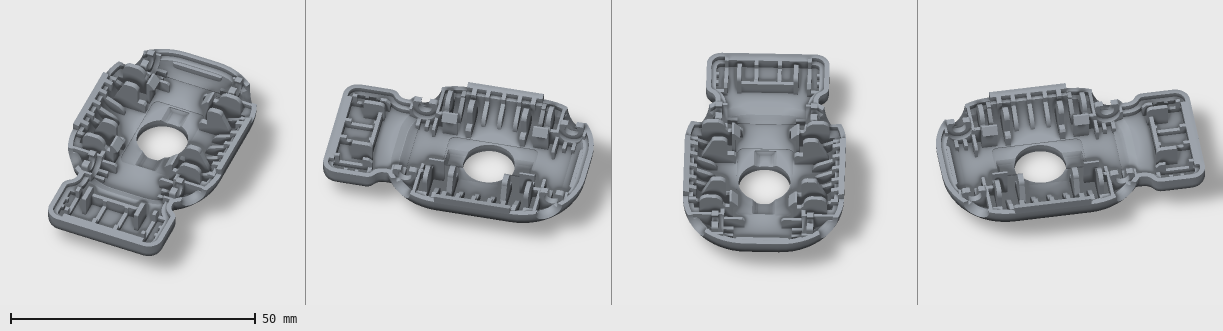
import cadquery as cq
import math


body_half_x = 16.505
body_half_y = 20.945
body_depth = 5.8
body_corner_r = 13.05
bottom_r = 5.55
cavity_bottom_r = 3.7
wall = 2.05
ledge = wall / 2
floor_z = wall - body_depth
root_z = floor_z - 0.25
top_z = 3.0
hole_r = 5.3

tab_half_x = 12.55
tab_end_y = -32.555
tab_depth = 4.05
tab_corner_r = 3.05
tab_floor_z = wall - tab_depth
tab_root_z = tab_floor_z - 0.25
neck_half_x = 10.55
shoulder_y = -23.15
shoulder_r = 2.1

strip_half_y = 7.9
strip_in_x = 15.3
tooth_in_x = 13.8
strip_top_z = 1.55
tooth_top_z = 0.8

clip_y = 15.35
clip_in_x = 9.1
clip_out_x = 10.45
clip_bore_r = 1.45
saddle_in_x = 8.0
saddle_r = 2.5
clip_wall_y = 12.95
clip_wall_t = 0.65
clip_end_y = 18.4

outer_guide_y = 10.1
outer_guide_t = 0.95
guide_out_x = 13.05
guide_shoulder_z = 2.05


def box(x0, x1, y0, y1, z0, z1):
    return cq.Workplane("XY").box(x1 - x0, y1 - y0, z1 - z0, centered=False).translate((x0, y0, z0))


def plate(profile, y0, y1):
    """Extrude an XZ profile from y0 to y1."""
    return profile.extrude(y0 - y1).translate((0, y0, 0))


def section():
    return cq.Workplane("XZ")


def x_cylinder(x0, x1, radius, y):
    """Cylinder about an axis parallel to X in the parting plane."""
    return cq.Workplane("YZ", origin=(x0, y, 0)).circle(radius).extrude(x1 - x0)


def merge(solids):
    total = solids[0]
    for solid in solids[1:]:
        total = total.union(solid)
    return total


def both_sides(solid):
    return solid.union(solid.mirror("YZ"))


def both_ends(solid):
    return solid.union(solid.mirror("XZ"))


def body_prism(inset, z0, z1):
    """Body outline moved inwards by inset, standing from z0 to z1."""
    prism = box(inset - body_half_x, body_half_x - inset, inset - body_half_y, body_half_y - inset, z0, z1)
    return prism.edges("|Z").fillet(body_corner_r - inset)


def tab_prism(inset, z0, z1):
    """Tab outline moved inwards by inset, standing from z0 to z1; it runs well into the body."""
    half_x = tab_half_x - inset
    end_y = tab_end_y + inset
    corner = tab_corner_r - inset
    neck_x = neck_half_x - inset
    turn = math.acos(1 - (tab_half_x - neck_half_x) / (2 * shoulder_r))
    outer_r = shoulder_r - inset
    inner_r = shoulder_r + inset
    meet_x = half_x - outer_r * (1 - math.cos(turn))
    meet_y = shoulder_y + outer_r * math.sin(turn)
    neck_y = shoulder_y + 2 * shoulder_r * math.sin(turn)
    half_turn = turn / 2
    root_y = -body_half_y + 4.3
    half = (
        cq.Workplane("XY", origin=(0, 0, z0))
        .moveTo(0, root_y)
        .lineTo(neck_x, root_y)
        .lineTo(neck_x, neck_y)
        .threePointArc(
            (neck_x + inner_r * (1 - math.cos(half_turn)), neck_y - inner_r * math.sin(half_turn)),
            (meet_x, meet_y),
        )
        .threePointArc(
            (half_x - outer_r * (1 - math.cos(half_turn)), shoulder_y + outer_r * math.sin(half_turn)),
            (half_x, shoulder_y),
        )
        .lineTo(half_x, end_y + corner)
        .radiusArc((half_x - corner, end_y), corner)
        .lineTo(0, end_y)
        .close()
        .extrude(z1 - z0)
    )
    return both_sides(half)


def body_outside():
    return body_prism(0, -body_depth, 0).faces("<Z").edges().fillet(bottom_r)


def body_cavity():
    hollow = body_prism(wall, floor_z, 0).faces("<Z").edges().fillet(cavity_bottom_r)
    flat_half_x = 10.75
    flat_half_y = 16.15
    flat = box(-flat_half_x, flat_half_x, -flat_half_y, flat_half_y, floor_z, floor_z + 0.55)
    step = body_prism(ledge, -ledge, 0)
    for side in (-1, 1):
        centre_x = side * body_half_x
        keep = box(centre_x - 2 * wall, centre_x + 2 * wall, -strip_half_y, strip_half_y, -ledge, 0)
        step = step.cut(keep)
    return hollow.union(flat).union(step)


def tab_outside():
    bottom_round = 2.0
    tab = tab_prism(0, -tab_depth, 0)
    return tab.faces("<Z").edges("not(>Y)").fillet(bottom_round)


def tab_cavity():
    hollow = tab_prism(wall, tab_floor_z, 0).union(tab_prism(ledge, -ledge, 0))
    rim_half_x = 8.9
    end_rim = box(-rim_half_x, rim_half_x, tab_end_y, tab_end_y + wall, tab_floor_z, 0)
    return hollow.cut(end_rim)


def tab_ramp():
    """Bevel between the body floor radius and the tab floor."""
    low_z = -2.7
    low_inset = 3.0
    high_inset = 1.47
    rise = tab_floor_z - low_z
    lean = math.degrees(math.atan((low_inset - high_inset) / rise))
    ramp = (
        body_prism(low_inset, low_z, low_z + 0.05)
        .faces("<Z").wires().toPending()
        .workplane(invert=True)
        .extrude(rise, taper=-lean, combine=False)
    )
    limit = box(-saddle_in_x, saddle_in_x, -body_half_y, -clip_y, low_z, tab_floor_z)
    return ramp.intersect(limit)


def pad_recess():
    pad_half_x = 5.7
    pad_half_y = 9.3
    pad_depth = 0.15
    recess = box(-pad_half_x, pad_half_x, -pad_half_y, pad_half_y, floor_z - pad_depth, floor_z)
    return recess.edges("|Z").fillet(1.3)


def pad_channel():
    half_y = 8.95
    top_half_x = 2.5
    knee_half_x = 1.6
    base_half_x = 1.2
    depth = 1.0
    knee_z = floor_z - depth + 0.2
    outline = section().polyline([
        (-top_half_x, floor_z),
        (-knee_half_x, knee_z),
        (-base_half_x, floor_z - depth),
        (base_half_x, floor_z - depth),
        (knee_half_x, knee_z),
        (top_half_x, floor_z),
    ]).close()
    blank = box(-top_half_x, top_half_x, -half_y, half_y, floor_z - depth, floor_z).edges("|Z").fillet(0.65)
    sloped_ends = box(-top_half_x, top_half_x, -half_y, half_y, floor_z - depth, floor_z)
    sloped_ends = sloped_ends.faces("<Z").edges("|X").chamfer(0.6)
    return plate(outline, -half_y, half_y).intersect(blank).intersect(sloped_ends)


def clip_block():
    """Block that carries the shaft clip, with the clip wall running out to the body side."""
    wall_start_y = clip_wall_y - clip_wall_t
    block = box(saddle_in_x, clip_out_x, wall_start_y, clip_end_y, -body_depth, 0)
    return block.union(box(saddle_in_x, body_half_x, wall_start_y, clip_wall_y, -body_depth, 0))


def clip_link():
    """Short wall that ties the clip wall to the outer guide plate."""
    in_x = 7.9
    out_x = 8.7
    return box(in_x, out_x, outer_guide_y, clip_wall_y, root_z, -0.1)


def clip_arms():
    arm_half_y = 2.5
    arm_top_z = 1.4
    arm_root_z = -0.25
    arms = box(clip_in_x, clip_out_x, clip_y - arm_half_y, clip_y + arm_half_y, arm_root_z, arm_top_z)
    return arms.faces(">Z").edges("|X").fillet(0.55)


def clip_flare():
    """Round-lipped notch in the body wall, square to the corner of the body where the clip points."""
    notch_angle = 37
    notch_r = 2.2
    lip_r = 3.4
    reach = 4.8
    turn = math.radians(notch_angle)
    straight_x = body_half_x - body_corner_r
    straight_y = body_half_y - body_corner_r
    lip_x = straight_x + body_corner_r * math.cos(turn)
    lip_y = straight_y + body_corner_r * math.sin(turn)
    profile = (
        cq.Workplane("XY")
        .moveTo(-reach, 0)
        .lineTo(-reach, notch_r)
        .lineTo(-wall, notch_r)
        .threePointArc((-0.8, 2.6), (0, lip_r))
        .lineTo(reach, lip_r)
        .lineTo(reach, 0)
        .close()
    )
    notch = profile.revolve(360, (0, 0, 0), (1, 0, 0))
    notch = notch.rotate((0, 0, 0), (0, 0, 1), notch_angle).translate((lip_x, lip_y, 0))
    limit = box(clip_out_x, body_half_x, clip_wall_y, body_half_y, -body_depth, top_z)
    return notch.intersect(limit)


def clip_cuts():
    mouth_half_y = 0.85
    bore = x_cylinder(saddle_in_x, clip_out_x + 0.55, clip_bore_r, clip_y)
    mouth = box(clip_in_x, clip_out_x, clip_y - mouth_half_y, clip_y + mouth_half_y, 0, top_z)
    saddle = x_cylinder(saddle_in_x, clip_in_x, saddle_r, clip_y)
    return merge([bore, mouth, saddle, clip_flare()])


def saddle_fins():
    fin_in_x = 6.0
    fin_top_z = -2.4
    fin_t = 0.75
    fins = [
        box(fin_in_x, saddle_in_x, y - fin_t / 2, y + fin_t / 2, root_z, fin_top_z)
        for y in (14.4, 16.25)
    ]
    return merge(fins)


def clip_wall_fin(in_x):
    """Fin that carries the clip wall on towards the middle."""
    fin_top_z = -1.3
    fin = box(in_x, saddle_in_x, clip_wall_y - clip_wall_t, clip_wall_y, root_z, fin_top_z)
    return fin.faces("<X").edges(">Z").chamfer(0.45)


def bay_floor():
    """Raised floor around the outer guide plate, level with the rim step at its outer edge."""
    in_x = 8.85
    low_x = 12.25
    high_x = 13.15
    low_z = -2.15
    profile = section().polyline([
        (in_x, root_z),
        (in_x, low_z),
        (low_x, low_z),
        (high_x, -ledge),
        (body_half_x, -ledge),
        (body_half_x, root_z),
    ]).close()
    shelf_x = 14.35
    shelf_start_y = 8.8
    bay = plate(profile, outer_guide_y, clip_wall_y - clip_wall_t)
    return bay.union(box(shelf_x, body_half_x, shelf_start_y, outer_guide_y, root_z, -ledge))


def outer_guide():
    """Tall plate next to the clip, with rounded top corners and a low inner foot."""
    outer_corner_r = 1.6
    foot_in_x = 6.9
    foot_z = 0.25
    profile = (
        section()
        .moveTo(guide_out_x, root_z)
        .lineTo(guide_out_x, top_z - outer_corner_r)
        .radiusArc((guide_out_x - outer_corner_r, top_z), -outer_corner_r)
        .lineTo(9.8, top_z)
        .threePointArc((8.85, 2.4), (8.25, 0.95))
        .lineTo(7.7, foot_z)
        .lineTo(foot_in_x, foot_z)
        .lineTo(foot_in_x, root_z)
        .close()
    )
    return plate(profile, outer_guide_y, outer_guide_y + outer_guide_t)


def inner_guide():
    """Tall plate with a leaning outer edge and a low step on its inner side."""
    step_z = -1.3
    step_x = 6.0
    step_chamfer = 0.45
    inner_x = 7.7
    profile = (
        section()
        .moveTo(guide_out_x, root_z)
        .lineTo(guide_out_x, floor_z + 1.6)
        .lineTo(11.0, 2.15)
        .threePointArc((10.75, 2.75), (10.2, top_z))
        .lineTo(9.15, top_z)
        .threePointArc((8.15, 2.7), (inner_x, guide_shoulder_z))
        .lineTo(inner_x, step_z)
        .lineTo(step_x + step_chamfer, step_z)
        .lineTo(step_x, step_z - step_chamfer)
        .lineTo(step_x, root_z)
        .close()
    )
    start_y = 5.1
    thickness = 1.1
    return plate(profile, start_y, start_y + thickness)


def catch():
    """Upright snap arm with a hook whose top slopes down towards the middle."""
    tip_x = 5.2
    arm_in_x = 6.2
    out_x = 6.9
    crest_x = 6.5
    profile = section().polyline([
        (arm_in_x, root_z),
        (arm_in_x, 0.15),
        (tip_x, 0.7),
        (crest_x, guide_shoulder_z),
        (out_x, guide_shoulder_z),
        (out_x, root_z),
    ]).close()
    return plate(profile, strip_half_y, outer_guide_y + outer_guide_t)


def strip_profile(in_x):
    slope = (strip_top_z - tooth_top_z) / (body_half_x - tooth_in_x)
    in_z = tooth_top_z + slope * (in_x - tooth_in_x)
    return section().polyline([
        (in_x, -ledge), (in_x, in_z), (body_half_x, strip_top_z), (body_half_x, 0), (strip_in_x, -ledge),
    ]).close()


rib_t = 0.85


def side_rib(y, shelf_z):
    """Curved rib from the side wall down to the floor; shelf_z is its height below the strip."""
    tip_x = 9.7
    bend_x = 11.0
    bend_z = -1.7
    profile = (
        section()
        .moveTo(strip_in_x, root_z)
        .lineTo(strip_in_x, shelf_z)
        .lineTo(tooth_in_x, shelf_z)
        .lineTo(tooth_in_x, -0.45)
        .lineTo(bend_x, bend_z)
        .threePointArc((10.05, -2.6), (tip_x, floor_z))
        .lineTo(tip_x, root_z)
        .close()
    )
    return plate(profile, y - rib_t / 2, y + rib_t / 2)


def side_strip():
    end_rib_y = 8.4
    mid_rib_y = 3.3
    tooth_y = 6.2
    tooth_t = 0.95
    parts = [plate(strip_profile(strip_in_x), -strip_half_y, strip_half_y)]
    for y in (-tooth_y, tooth_y):
        parts.append(plate(strip_profile(tooth_in_x), y - tooth_t / 2, y + tooth_t / 2))
    for y in (-mid_rib_y, 0, mid_rib_y):
        parts.append(side_rib(y, -ledge))
        parts.append(plate(strip_profile(tooth_in_x), y - rib_t / 2, y + rib_t / 2))
    for y in (-end_rib_y, end_rib_y):
        parts.append(side_rib(y, 0))
    return merge(parts)


def end_stop():
    half_x = 5.45
    in_y = 18.05
    top = -1.2
    overlap = 0.1
    stop = box(-half_x, half_x, in_y, body_half_y - wall + overlap, root_z, top)
    return stop.edges("|Z and <Y").fillet(0.45)


tab_wall_in_x = 8.15
tab_wall_out_x = 8.9
cavity_end_y = tab_end_y + wall


def tab_side_wall():
    """Long wall with two raised posts and the small keys on the tab side opposite it."""
    start_y = -22.5
    wall_t = 0.8
    near_post_y = -24.55
    end_post_y = -30.35
    end_post_length = 0.9
    post_top_z = 0.95
    side_x = tab_half_x - wall
    parts = [
        box(tab_wall_in_x, tab_wall_out_x, tab_end_y + ledge, start_y, tab_root_z, -ledge),
        box(tab_wall_in_x, side_x + ledge, start_y - wall_t, start_y, tab_root_z, -ledge),
        box(tab_wall_in_x, tab_wall_out_x, end_post_y, end_post_y + end_post_length, tab_root_z, post_top_z),
    ]
    post = box(tab_wall_in_x, tab_wall_out_x, near_post_y, start_y, tab_root_z, post_top_z)
    parts.append(post.faces(">Z").edges(">Y").chamfer(0.75))
    key_depth = 0.5
    key_half_y = 0.4
    key_in_x = side_x - key_depth
    for y in (-25.4, -27.7):
        parts.append(box(key_in_x, side_x + ledge, y - key_half_y, y + key_half_y, tab_root_z, -ledge))
    return merge(parts)


cross_wall_y = -24.25
cross_wall_t = 0.8
cross_wall_top_z = 0.5
plate_in_x = 5.35


def tab_plate():
    start_y = -23.05
    end_y = -27.4
    thickness = 0.9
    top = 2.5
    blade = box(plate_in_x, plate_in_x + thickness, end_y, start_y, tab_root_z, top)
    blade = blade.faces(">Z").edges(">Y").fillet(0.95)
    return blade.faces(">Z").edges("<Y").fillet(0.3)


def tab_rib():
    in_x = 2.0
    out_x = 2.8
    end_post_y = -29.25
    near_post_length = 0.3
    low = box(in_x, out_x, cavity_end_y, cross_wall_y, tab_root_z, -ledge)
    near_post = box(in_x, out_x, cross_wall_y - near_post_length, cross_wall_y, tab_root_z, cross_wall_top_z)
    end_post = box(in_x, out_x, cavity_end_y, end_post_y, tab_root_z, 0)
    return merge([low, near_post, end_post])


def tab_cross_wall():
    return box(-plate_in_x, plate_in_x, cross_wall_y, cross_wall_y + cross_wall_t, tab_root_z, cross_wall_top_z)


envelope = body_outside().union(body_prism(0, 0, top_z))

quarter = merge([saddle_fins(), bay_floor(), outer_guide(), inner_guide(), catch(), clip_block(), clip_link()])
fittings = both_sides(both_ends(quarter))
fittings = fittings.union(both_sides(clip_wall_fin(3.8)))
fittings = fittings.union(both_sides(clip_wall_fin(4.75).mirror("XZ")))
fittings = fittings.union(both_sides(side_strip())).union(end_stop())
fittings = fittings.intersect(envelope)
arms = both_sides(both_ends(clip_arms()))

shell = body_outside().union(tab_outside())
shell = shell.cut(body_cavity()).cut(tab_cavity()).cut(tab_ramp())
shell = shell.cut(pad_recess()).cut(pad_channel())

tab_fittings = both_sides(merge([tab_side_wall(), tab_plate(), tab_rib()])).union(tab_cross_wall())

result = shell.union(fittings).union(arms).union(tab_fittings)
result = result.cut(both_sides(both_ends(clip_cuts())))
result = result.cut(cq.Workplane("XY").circle(hole_r).extrude(-2 * body_depth))